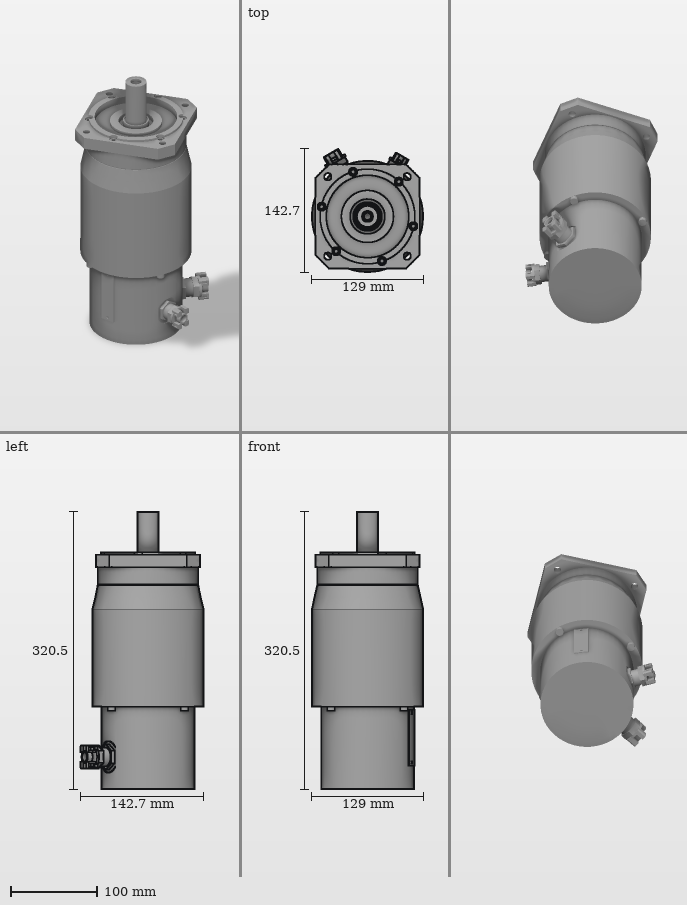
import cadquery as cq
import math

TOTAL_HEIGHT = 320.5
HOUSING_BOTTOM = 95.2
TAPER_BOTTOM = 208.0
GROOVE_BOTTOM = 235.5
GROOVE_TOP = 237.0
FLANGE_BOTTOM = 256.8
FLANGE_TOP = 271.2
PILOT_TOP = 273.8

MOTOR_RADIUS = 54.0
HOUSING_RADIUS = 64.5
NECK_RADIUS = 58.5
GROOVE_RADIUS = 57.5
PILOT_RADIUS = 54.8
SHAFT_RADIUS = 12.2

FLANGE_WIDTH = 120.5
FLANGE_CORNER_CUT = 15.7
MOUNT_HOLE_SPACING = 91.7
MOUNT_HOLE_DIAMETER = 8.3

RECESS_RADIUS = 47.8
RECESS_DEPTH = 9.0
COLLAR_RADIUS = 30.0
COLLAR_HEIGHT = 4.0
SEAL_POCKET_RADIUS = 20.2
SEAL_POCKET_DEPTH = 6.5
SEAL_STEP_RADIUS = 16.7
SEAL_STEP_DEPTH = 1.0
SEAL_RING_RADIUS = 15.0
SEAL_RING_HEIGHT = 7.7
SEAL_LIP_RADIUS = 13.8
SEAL_LIP_DEPTH = 1.3

CENTRE_MOUTH_RADIUS = 6.5
CENTRE_MOUTH_DEPTH = 4.0
CENTRE_CONE_RADIUS = 5.5
CENTRE_CONE_DEPTH = 5.8
CENTRE_BORE_RADIUS = 4.2
CENTRE_BORE_DEPTH = 19.2
CENTRE_TIP_DEPTH = 2.5

SCREW_COUNT = 6
SCREW_CIRCLE_RADIUS = 54.2
SCREW_START_ANGLE = 48
SCREW_POCKET_RADIUS = 4.8
SCREW_POCKET_DEPTH = 6.5
SCREW_HEAD_RADIUS = 4.2
SCREW_HEAD_HEIGHT = 5.0
SCREW_SOCKET_ACROSS_CORNERS = 5.8
SCREW_SOCKET_DEPTH = 2.5

FOOT_SCREW_SPACING = 84.5
FOOT_SCREW_RADIUS = 4.5
FOOT_SCREW_HEIGHT = 4.8

PLATE_ANGLE = -20
PLATE_BOTTOM = 27.0
PLATE_TOP = 92.0
PLATE_WIDTH = 17.3
PLATE_OUTER_DISTANCE = 54.8
PLATE_INNER_DISTANCE = 51.3
PLATE_HOLE_DIAMETER = 3.2
PLATE_HOLE_DEPTH = 1.3
PLATE_HOLE_INSET = 4.0

CONNECTOR_Z = 37.2
SEAT_DISTANCE = 52.0
SEAT_RADIUS = 18.3
POWER_CONNECTOR_ANGLE = 120
SIGNAL_CONNECTOR_ANGLE = 60
SIGNAL_CONNECTOR_SCALE = 0.87
HEX_CORNER_FACTOR = 2 / math.sqrt(3)
BASE_NUT_FLATS = 25.5
BASE_NUT_HEIGHT = 4.5
STEM_RADIUS = 11.0
LOCK_NUT_FLATS = 23.7
LOCK_NUT_BOTTOM = 14.0
CAP_BOTTOM = 20.8
CAP_DISC_RADIUS = 13.0
CAP_DISC_TOP = 23.7
CAP_TOP = 32.7
CAP_WIDTH = 19.5
CAP_HEIGHT = 27.0
CAP_SIDE_SLOT = 11.0
CAP_FRONT_SLOT = 7.0
CAP_CORNER_CUT = 1.5
GRIP_SPACING = 18.5
GRIP_WIDTH = 3.2
GRIP_DEPTH = 1.5
GRIP_BOTTOM = 25.0
GRIP_TOP = 30.0
RING_BOTTOM = 26.3
RING_OUTER_RADIUS = 7.5
RING_INNER_RADIUS = 5.5


def cylinder(radius, bottom, top):
    """Upright cylinder on the Z axis between two heights."""
    return cq.Workplane("XY").workplane(offset=bottom).circle(radius).extrude(top - bottom)


def hex_prism(flats, bottom, top):
    """Upright hexagonal prism on the Z axis with two corners on the X axis."""
    plane = cq.Workplane("XY").workplane(offset=bottom)
    return plane.polygon(6, flats * HEX_CORNER_FACTOR).extrude(top - bottom)


def make_body():
    """Motor, gearbox housing, tapered shoulder and neck as one turned profile."""
    profile = [
        (0, 0),
        (MOTOR_RADIUS, 0),
        (MOTOR_RADIUS, HOUSING_BOTTOM),
        (HOUSING_RADIUS, HOUSING_BOTTOM),
        (HOUSING_RADIUS, TAPER_BOTTOM),
        (NECK_RADIUS, GROOVE_BOTTOM),
        (GROOVE_RADIUS, GROOVE_BOTTOM),
        (GROOVE_RADIUS, GROOVE_TOP),
        (NECK_RADIUS, GROOVE_TOP),
        (NECK_RADIUS, FLANGE_BOTTOM),
        (0, FLANGE_BOTTOM),
    ]
    return cq.Workplane("XZ").polyline(profile).close().revolve(360, (0, 0), (0, 1))


def make_flange():
    """Square flange with cut corners and the round pilot above it."""
    thickness = FLANGE_TOP - FLANGE_BOTTOM
    plane = cq.Workplane("XY").workplane(offset=FLANGE_BOTTOM)
    square = plane.rect(FLANGE_WIDTH, FLANGE_WIDTH).extrude(thickness)
    square = square.edges("|Z").chamfer(FLANGE_CORNER_CUT)
    return square.union(cylinder(PILOT_RADIUS, FLANGE_BOTTOM, PILOT_TOP))


def mounting_holes():
    """Four clearance holes through the flange thickness."""
    plane = cq.Workplane("XY").workplane(offset=FLANGE_BOTTOM)
    centres = plane.rect(MOUNT_HOLE_SPACING, MOUNT_HOLE_SPACING, forConstruction=True).vertices()
    return centres.circle(MOUNT_HOLE_DIAMETER / 2).extrude(FLANGE_TOP - FLANGE_BOTTOM)


def fit_face_recess(part):
    """Recess the pilot face and add the collar and stepped shaft seal."""
    floor = PILOT_TOP - RECESS_DEPTH
    collar_top = floor + COLLAR_HEIGHT
    pocket_floor = collar_top - SEAL_POCKET_DEPTH
    step_floor = pocket_floor - SEAL_STEP_DEPTH
    ring_top = pocket_floor + SEAL_RING_HEIGHT
    part = part.cut(cylinder(RECESS_RADIUS, floor, PILOT_TOP))
    part = part.union(cylinder(COLLAR_RADIUS, floor, collar_top))
    part = part.cut(cylinder(SEAL_POCKET_RADIUS, pocket_floor, collar_top))
    part = part.cut(cylinder(SEAL_STEP_RADIUS, step_floor, pocket_floor))
    part = part.union(cylinder(SEAL_RING_RADIUS, step_floor, ring_top))
    return part.cut(cylinder(SEAL_LIP_RADIUS, ring_top - SEAL_LIP_DEPTH, ring_top))


def make_shaft():
    """Output shaft with a stepped and coned centre hole in its end."""
    shaft = cylinder(SHAFT_RADIUS, FLANGE_BOTTOM, TOTAL_HEIGHT)
    bore_end = TOTAL_HEIGHT - CENTRE_BORE_DEPTH
    mouth_end = TOTAL_HEIGHT - CENTRE_MOUTH_DEPTH
    hole_profile = [
        (0, TOTAL_HEIGHT),
        (CENTRE_MOUTH_RADIUS, TOTAL_HEIGHT),
        (CENTRE_MOUTH_RADIUS, mouth_end),
        (CENTRE_CONE_RADIUS, mouth_end),
        (CENTRE_BORE_RADIUS, TOTAL_HEIGHT - CENTRE_CONE_DEPTH),
        (CENTRE_BORE_RADIUS, bore_end),
        (0, bore_end - CENTRE_TIP_DEPTH),
    ]
    hole = cq.Workplane("XZ").polyline(hole_profile).close().revolve(360, (0, 0), (0, 1))
    return shaft.cut(hole)


def fit_flange_screws(part):
    """Sink a ring of socket-head screws into the flange and the pilot rim."""
    pocket_floor = FLANGE_TOP - SCREW_POCKET_DEPTH
    head_top = pocket_floor + SCREW_HEAD_HEIGHT
    socket_floor = head_top - SCREW_SOCKET_DEPTH
    pocket = cylinder(SCREW_POCKET_RADIUS, pocket_floor, PILOT_TOP)
    head = cylinder(SCREW_HEAD_RADIUS, pocket_floor, head_top)
    socket = cq.Workplane("XY").workplane(offset=socket_floor)
    socket = socket.polygon(6, SCREW_SOCKET_ACROSS_CORNERS).extrude(SCREW_SOCKET_DEPTH)
    cutter = pocket.cut(head.cut(socket))
    for index in range(SCREW_COUNT):
        angle = SCREW_START_ANGLE + index * 360 / SCREW_COUNT
        placed = cutter.translate((SCREW_CIRCLE_RADIUS, 0, 0))
        part = part.cut(placed.rotate((0, 0, 0), (0, 0, 1), angle))
    return part


def foot_screws():
    """Four screw heads hanging below the gearbox housing."""
    plane = cq.Workplane("XY").workplane(offset=HOUSING_BOTTOM - FOOT_SCREW_HEIGHT)
    centres = plane.rect(FOOT_SCREW_SPACING, FOOT_SCREW_SPACING, forConstruction=True).vertices()
    return centres.circle(FOOT_SCREW_RADIUS).extrude(FOOT_SCREW_HEIGHT)


def side_plate():
    """Flat plate let into the motor wall, with a shallow hole near each end."""
    height = PLATE_TOP - PLATE_BOTTOM
    middle = (PLATE_TOP + PLATE_BOTTOM) / 2
    plane = cq.Workplane("YZ", origin=(PLATE_INNER_DISTANCE, 0, middle))
    plate = plane.rect(PLATE_WIDTH, height).extrude(PLATE_OUTER_DISTANCE - PLATE_INNER_DISTANCE)
    hole_offset = height / 2 - PLATE_HOLE_INSET
    holes = plate.faces(">X").workplane().pushPoints([(0, -hole_offset), (0, hole_offset)])
    plate = holes.hole(PLATE_HOLE_DIAMETER, PLATE_HOLE_DEPTH)
    return plate.rotate((0, 0, 0), (0, 0, 1), PLATE_ANGLE)


def make_connector():
    """Connector standing on the XY plane; its X axis ends up vertical on the motor."""
    base_nut = hex_prism(BASE_NUT_FLATS, 0, BASE_NUT_HEIGHT)
    stem = cylinder(STEM_RADIUS, 0, CAP_BOTTOM)
    lock_nut = hex_prism(LOCK_NUT_FLATS, LOCK_NUT_BOTTOM, CAP_BOTTOM)
    disc = cylinder(CAP_DISC_RADIUS, CAP_BOTTOM, CAP_DISC_TOP)

    cap_length = CAP_TOP - CAP_BOTTOM
    cap_plane = cq.Workplane("XY").workplane(offset=CAP_BOTTOM)
    posts = cap_plane.rect(CAP_HEIGHT, CAP_WIDTH).extrude(cap_length)
    posts = posts.edges("|Z").chamfer(CAP_CORNER_CUT)
    posts = posts.cut(cap_plane.rect(CAP_SIDE_SLOT, CAP_WIDTH).extrude(cap_length))
    posts = posts.cut(cap_plane.rect(CAP_HEIGHT, CAP_FRONT_SLOT).extrude(cap_length))

    grip_plane = cq.Workplane("XY").workplane(offset=GRIP_BOTTOM)
    grip_centres = grip_plane.rect(GRIP_SPACING, CAP_WIDTH, forConstruction=True).vertices()
    grips = grip_centres.rect(GRIP_WIDTH, 2 * GRIP_DEPTH).extrude(GRIP_TOP - GRIP_BOTTOM)
    posts = posts.cut(grips)

    ring = cylinder(RING_OUTER_RADIUS, RING_BOTTOM, CAP_TOP)
    bore = cylinder(RING_INNER_RADIUS, CAP_DISC_TOP, CAP_TOP)
    connector = base_nut.union(stem).union(lock_nut).union(disc).union(posts)
    return connector.union(ring).cut(bore)


def place_on_motor(shape, angle):
    """Turn a shape's Z axis outward at the given angle and set it on the seat plane."""
    outward = shape.rotate((0, 0, 0), (0, 1, 0), 90)
    outward = outward.translate((SEAT_DISTANCE, 0, CONNECTOR_Z))
    return outward.rotate((0, 0, 0), (0, 0, 1), angle)


def fit_connector(part, angle, scale):
    """Mill a round flat seat into the motor and mount a scaled connector on it."""
    seat = cylinder(SEAT_RADIUS * scale, 0, MOTOR_RADIUS - SEAT_DISTANCE)
    connector = cq.Workplane("XY").newObject([make_connector().val().scale(scale)])
    part = part.cut(place_on_motor(seat, angle))
    return part.union(place_on_motor(connector, angle))


result = make_body().union(make_flange())
result = fit_face_recess(result)
result = result.union(make_shaft())
result = fit_flange_screws(result)
result = result.cut(mounting_holes())
result = result.union(foot_screws())
result = result.union(side_plate())
result = fit_connector(result, POWER_CONNECTOR_ANGLE, 1)
result = fit_connector(result, SIGNAL_CONNECTOR_ANGLE, SIGNAL_CONNECTOR_SCALE)